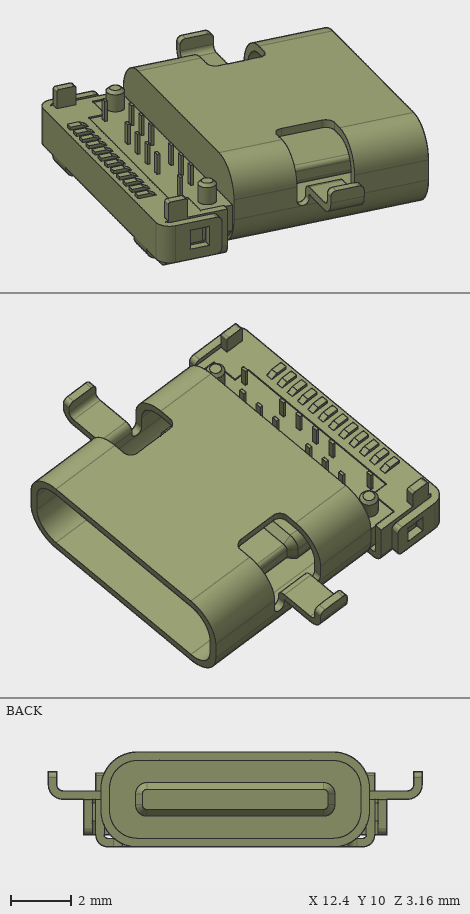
import cadquery as cq
import math


sheet = 0.29
bend_outer = 0.5
bend_inner = bend_outer - sheet
sheet_corner = 0.2

shell_width = 8.94
shell_length = 7.11
height = 3.16
shell_radius = 1.21
shell_half = shell_width / 2
mid_z = height / 2

window_start = 2.3
window_end = 4.41
window_inner_x = 2.51
window_corner = 0.31
relief_bottom = 1.22
cut_clearance = 0.12
tab_width = 1.22
tab_reach = 6.22
tab_bottom = 1.58
tab_top = 2.5
window_mid = (window_start + window_end) / 2
window_length = window_end - window_start
relief_radius = (window_length - tab_width) / 4
relief_center_z = relief_bottom + relief_radius

plug_depth = 0.88
tongue_width = 6.19
tongue_thickness = 0.67
tongue_edge = 0.16
tongue_tip = 6.22
flare_base = 2.24
flare_tip = 2.54
flare_angle = 37

body_back = -2.89
body_width = 8.72
body_top = 1.77
body_bevel = 0.47
ledge_drop = 0.05
ledge_width = 6.67
ledge_step = -1.17
ledge_back = -1.78
body_half = body_width / 2
arm_front = -0.31
arm_back = -2.55
arm_radius = 0.4
arm_half = body_half + sheet
ear_front = -1.77
ear_back = -2.48
ear_corner = 0.09
pin_top = 2.47

floor_bend = 0.4
floor_gap_width = 5.53
floor_bend_end = 3.78
floor_gap_corner = 0.1
floor_gap_end = -2.47
neck_width = 7.52
neck_corner = 0.29

cover_width = 10.08
cover_bottom = 0.4
cover_half = cover_width / 2
wing_front = -0.7
catch_front = -1.16
catch_length = 0.68
catch_height = 0.71
catch_bottom = 0.77
latch_front = -1.17
latch_back = -1.79
latch_bottom = 0.86
latch_top = 1.46
latch_rise = 0.05
latch_front_slope = 0.12
latch_back_slope = 0.05

post_x = 3.71
post_diameter = 0.62
post_chamfer = 0.11
front_row_y = -0.63
back_row_y = -1.32
pin_width = 0.2
pin_depth = 0.1
pin_pitch = 0.8
front_row_x = (pin_pitch, 2 * pin_pitch, 3 * pin_pitch)
back_row_x = (0.5 * pin_pitch, 1.5 * pin_pitch, 3.04)
pad_count = 12
pad_pitch = 0.5
pad_width = 0.25
pad_offset = -0.12
pad_front = -2.05
pad_crest = -2.29
pad_back = -2.71
pad_top = 1.88


def block(x0, x1, y0, y1, z0, z1):
    """Box between two opposite corners."""
    return cq.Workplane("XY").box(x1 - x0, y1 - y0, z1 - z0, centered=False).translate((x0, y0, z0))


def both_sides(solid):
    """The solid together with its mirror image across X = 0."""
    return solid.union(solid.mirror("YZ"))


def rounded_bar(width, thickness, radius, y0, y1):
    """Bar along Y with a rounded rectangular section, centred on the shell."""
    bar = cq.Workplane("XZ", origin=(0, y1, mid_z)).rect(width, thickness).extrude(y1 - y0)
    return bar.edges("|Y").fillet(radius)


def shell_window():
    """Opening through the top and +X side of the shell, ending in two round-bottomed reliefs."""
    outer_x = shell_half + cut_clearance
    opening = block(window_inner_x, outer_x, window_start, window_end, relief_center_z, height)
    opening = opening.edges("|Z and <X").fillet(window_corner)
    side = shell_half - shell_radius
    for y in (window_start + relief_radius, window_end - relief_radius):
        relief = cq.Workplane("YZ", origin=(side, y, relief_center_z)).circle(relief_radius)
        opening = opening.union(relief.extrude(shell_radius + cut_clearance))
    return opening


def shell_tab():
    """Tab bent out of the +X shell wall and then up at its end."""
    tab_floor = tab_bottom + sheet
    arc_middle = math.cos(math.radians(45))
    inner = shell_half - sheet
    rise = tab_bottom + bend_outer
    outer_bend_dip = bend_outer * arc_middle
    inner_bend_dip = bend_inner * arc_middle
    bend_x = tab_reach - bend_outer
    wall_bend_dip = sheet * arc_middle
    profile = (
        cq.Workplane("XZ", origin=(0, window_mid + tab_width / 2, 0))
        .moveTo(shell_half, relief_bottom)
        .lineTo(shell_half, tab_bottom)
        .lineTo(bend_x, tab_bottom)
        .threePointArc((bend_x + outer_bend_dip, rise - outer_bend_dip), (tab_reach, rise))
        .lineTo(tab_reach, tab_top)
        .lineTo(tab_reach - sheet, tab_top)
        .lineTo(tab_reach - sheet, rise)
        .threePointArc((bend_x + inner_bend_dip, rise - inner_bend_dip), (bend_x, tab_floor))
        .lineTo(shell_half, tab_floor)
        .threePointArc((shell_half - wall_bend_dip, tab_bottom + wall_bend_dip), (inner, tab_bottom))
        .lineTo(inner, relief_bottom)
        .close()
    )
    return profile.extrude(tab_width).edges("|X and >Z").fillet(sheet_corner)


bore = rounded_bar(shell_width - 2 * sheet, height - 2 * sheet, shell_radius - sheet, 0, shell_length)
shell = rounded_bar(shell_width, height, shell_radius, 0, shell_length).cut(bore)
shell = shell.cut(both_sides(shell_window())).union(both_sides(shell_tab()))

plug = rounded_bar(shell_width - 2 * sheet, height - 2 * sheet, shell_radius - sheet, 0, plug_depth)
tongue = rounded_bar(tongue_width, tongue_thickness, tongue_edge, 0, tongue_tip)
flare_growth = 2 * (flare_tip - flare_base) * math.tan(math.radians(flare_angle))
flare_section = cq.Sketch().rect(tongue_width, tongue_thickness).vertices().fillet(tongue_edge)
flare = (
    cq.Workplane("XZ", origin=(0, flare_tip, mid_z))
    .placeSketch(flare_section)
    .extrude(flare_tip - flare_base, taper=-flare_angle)
)
collar = rounded_bar(
    tongue_width + flare_growth,
    tongue_thickness + flare_growth,
    tongue_edge + flare_growth / 2,
    0,
    flare_base,
)
insulator = plug.union(tongue).union(flare).union(collar)


def rear_body():
    body = block(-body_half, body_half, arm_back, 0, sheet, body_top)
    body = body.edges("|Y and <Z").chamfer(body_bevel)
    ledge_z = body_top - ledge_drop
    wide_ledge = block(-body_half, body_half, ledge_step, 0, ledge_z, body_top)
    narrow_ledge = block(-ledge_width / 2, ledge_width / 2, ledge_back, 0, ledge_z, body_top)
    return body.cut(wide_ledge).cut(narrow_ledge)


def bracket():
    trough = block(-arm_half, arm_half, arm_back, arm_front, 0, body_top)
    trough = trough.edges("|Y and <Z").fillet(arm_radius)
    hollow = block(-body_half, body_half, arm_back, arm_front, sheet, body_top)
    hollow = hollow.edges("|Y and <Z").fillet(arm_radius - sheet)
    ear = block(body_half, arm_half, ear_back, ear_front, mid_z, pin_top)
    ear = ear.edges("|X and >Z").fillet(ear_corner)
    notch = block(neck_width / 2, body_half, arm_front, 0, 0, sheet)
    notch = notch.edges("|Z and <X and <Y").fillet(neck_corner)
    neck = block(-body_half + sheet, body_half - sheet, arm_front, 0, 0, sheet).cut(both_sides(notch))
    return trough.cut(hollow).union(both_sides(ear)).union(neck)


def floor_tongue():
    """Part of the floor on the +X side that curves up into the back plate."""
    curved = block(floor_gap_width / 2, floor_bend_end, body_back, floor_gap_end, 0, cover_bottom + sheet)
    return curved.edges("<Y and <Z").fillet(floor_bend)


def floor_gap():
    """Notch in the floor between the two floor tongues."""
    half = floor_gap_width / 2
    gap = block(-half, half, body_back, floor_gap_end, 0, sheet)
    return gap.edges("|Z and >Y").fillet(floor_gap_corner)


def back_cover():
    outer = block(-cover_half, cover_half, body_back, wing_front, cover_bottom, body_top)
    outer = outer.edges("|Z and <Y").fillet(bend_outer)
    inner_half = cover_half - sheet
    inner = block(-inner_half, inner_half, body_back + sheet, wing_front, cover_bottom, body_top)
    inner = inner.edges("|Z and <Y").fillet(bend_inner)
    cover = outer.cut(inner).edges("|X and >Y").fillet(sheet_corner)
    catch_back = catch_front - catch_length
    catch_top = catch_bottom + catch_height
    catch = block(inner_half, cover_half, catch_back, catch_front, catch_bottom, catch_top)
    web = block(-arm_half, arm_half, body_back + sheet, arm_back, cover_bottom, body_top)
    return cover.cut(both_sides(catch)).union(web)


def latch():
    wing_inside = cover_half - sheet
    latch_reach = wing_inside + latch_rise
    outline = (
        cq.Workplane("XY", origin=(0, 0, latch_bottom))
        .moveTo(arm_half, latch_front)
        .lineTo(wing_inside, latch_front)
        .lineTo(latch_reach, latch_front - latch_front_slope)
        .lineTo(latch_reach, latch_back + latch_back_slope)
        .lineTo(arm_half, latch_back)
        .close()
    )
    return outline.extrude(latch_top - latch_bottom)


rear = rear_body().union(bracket()).union(both_sides(floor_tongue())).cut(floor_gap())
rear = rear.union(back_cover()).union(both_sides(latch()))


def post():
    shaft = cq.Workplane("XY", origin=(post_x, front_row_y, mid_z)).circle(post_diameter / 2)
    return shaft.extrude(pin_top - mid_z).faces(">Z").chamfer(post_chamfer)


rear = rear.union(both_sides(post()))


def pin(x, y):
    half_width = pin_width / 2
    half_depth = pin_depth / 2
    return block(x - half_width, x + half_width, y - half_depth, y + half_depth, mid_z, pin_top)


for x in front_row_x:
    rear = rear.union(both_sides(pin(x, front_row_y)))
for x in back_row_x:
    rear = rear.union(both_sides(pin(x, back_row_y)))


def pad(x):
    profile = (
        cq.Workplane("YZ", origin=(x - pad_width / 2, 0, 0))
        .moveTo(pad_back, mid_z)
        .lineTo(pad_back, pad_top)
        .lineTo(pad_crest, pad_top)
        .lineTo(pad_front, body_top)
        .lineTo(pad_front, mid_z)
        .close()
    )
    return profile.extrude(pad_width)


for index in range(pad_count):
    pad_x = pad_offset + (index - (pad_count - 1) / 2) * pad_pitch
    rear = rear.union(pad(pad_x))

result = shell.union(insulator).union(rear)